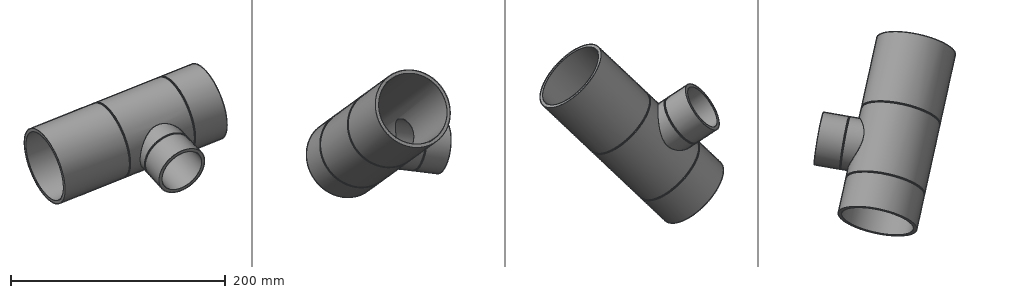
import cadquery as cq
import math

main_length = 175.0
main_diameter = 75.0
wall = 3.3

branch_diameter = 50.0
branch_tilt = 1.5
branch_start_y = 17.5
branch_reach_x = 70.0

groove_width = 1.4
groove_depth = 0.7
upper_groove_inset = 34.8
lower_groove_inset = 70.0
branch_groove_inset = 24.8

branch_length = branch_reach_x / math.cos(math.radians(branch_tilt))


def grooved_rod(diameter, length, groove_positions):
    """Solid rod along +Y from the origin, with V-grooves at the given distances."""
    radius = diameter / 2
    profile = cq.Workplane("XY").lineTo(radius, 0)
    for position in groove_positions:
        profile = (
            profile.lineTo(radius, position - groove_width / 2)
            .lineTo(radius - groove_depth, position)
            .lineTo(radius, position + groove_width / 2)
        )
    profile = profile.lineTo(radius, length).lineTo(0, length).close()
    return profile.revolve(360, (0, 0, 0), (0, 1, 0))


def place_main(body):
    return body.translate((0, -main_length / 2, 0))


def place_branch(body):
    turned = body.rotate((0, 0, 0), (0, 0, 1), branch_tilt - 90)
    return turned.translate((0, branch_start_y, 0))


main_grooves = [lower_groove_inset, main_length - upper_groove_inset]
main_pipe = place_main(grooved_rod(main_diameter, main_length, main_grooves))
main_bore = place_main(grooved_rod(main_diameter - 2 * wall, main_length, []))

branch_grooves = [branch_length - branch_groove_inset]
branch_pipe = place_branch(grooved_rod(branch_diameter, branch_length, branch_grooves))
branch_bore = place_branch(grooved_rod(branch_diameter - 2 * wall, branch_length, []))

result = main_pipe.union(branch_pipe).cut(main_bore).cut(branch_bore)